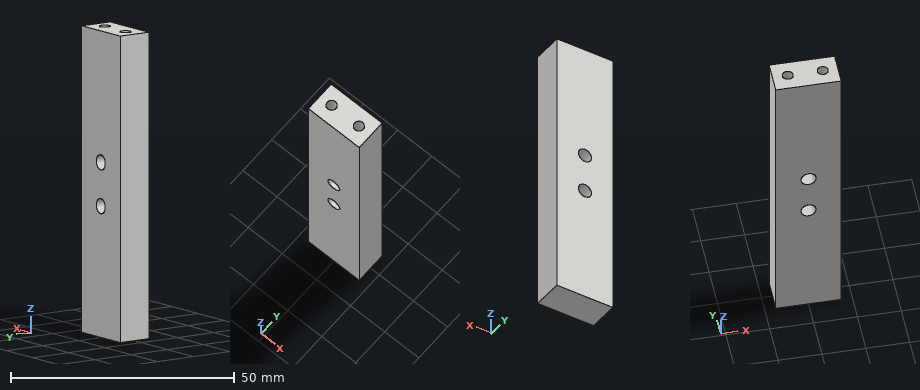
import cadquery as cq
import math

width = 15.0
thickness = 8.0
length = 70.0

cross_hole_diameter = 3.4
cross_hole_spacing = 10.0

end_hole_diameter = 2.45
end_hole_spacing = 8.0
end_hole_depth = 10.0
drill_point_angle = 118.0


def make_bar():
    return cq.Workplane("XY").box(width, thickness, length)


def make_cross_holes():
    return (
        cq.Workplane("XZ")
        .rarray(0.7, cross_hole_spacing, 1, 2)
        .circle(cross_hole_diameter / 2)
        .extrude(thickness / 2, both=True)
    )


def make_end_hole(x):
    """Drilled hole as a half profile revolved about its vertical axis."""
    radius = end_hole_diameter / 2
    point_depth = radius / math.tan(math.radians(drill_point_angle / 2))
    return (
        cq.Workplane("XZ")
        .lineTo(radius, 0)
        .lineTo(radius, -end_hole_depth)
        .lineTo(0, -end_hole_depth - point_depth)
        .close()
        .revolve(360, (0, 0, 0), (0, 1, 0))
        .translate((x, 0, length / 2))
    )


result = make_bar().cut(make_cross_holes())
for side in (-1, 1):
    result = result.cut(make_end_hole(side * end_hole_spacing / 2))